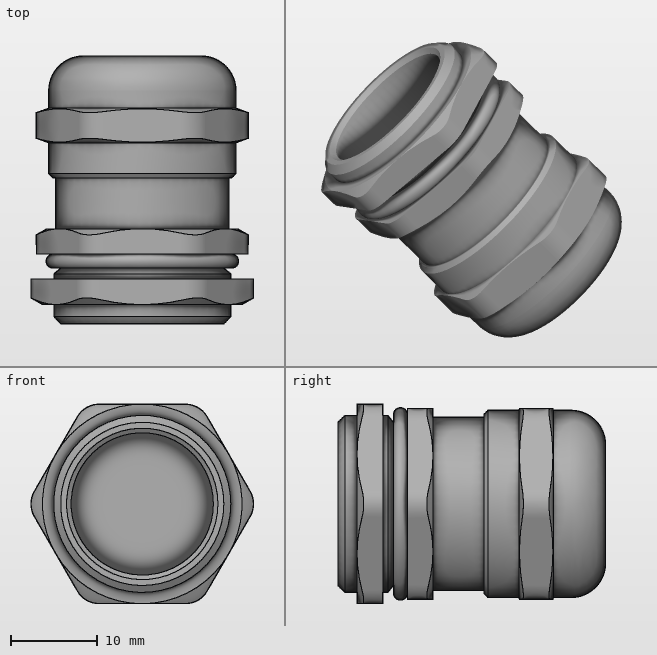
import cadquery as cq
import math

entry_chamfer_end = 0.83
nut_start = 2.22
nut_end = 5.18
thread_chamfer_start = 5.77
thread_end = 6.42
ring_end = 8.02
body_hex_end = 10.95
cap_start = 16.82
cap_chamfer_end = 17.3
cap_hex_start = 20.85
cap_hex_end = 24.85
total_length = 30.85

thread_diameter = 20.4
thread_end_diameter = 18.8
ring_diameter = 22.2
barrel_diameter = 20.0
cap_diameter = 21.6
cap_chamfer = 0.5
dome_radius = 4.0

bore_mouth_diameter = 17.45
bore_diameter = 16.4
bore_depth = 5.77
bore_chamfer_depth = (bore_mouth_diameter - bore_diameter) / 2

nut_flats = 23.0
wrench_flats = 22.0
nut_corner_radius = 2.93
wrench_corner_radius = 3.18
hex_chamfer_angle = 30
cap_hex_chamfer_angle = 20


def cylinder(diameter, start, end):
    """Cylinder on the Y axis between two stations."""
    return cq.Workplane("XZ", origin=(0, start, 0)).circle(diameter / 2).extrude(start - end)


def revolve(points):
    """Solid of revolution about Y from (radius, station) points."""
    return cq.Workplane("XY").polyline(points).close().revolve(360, (0, 0), (0, 1))


def hexagon(flats, corner_radius, start, end, angle, face_diameter, chamfer_start, chamfer_end):
    """Hexagon with rounded corners and conical chamfers on the chosen ends."""
    corner_diameter = flats / math.cos(math.pi / 6)
    prism = (
        cq.Workplane("XZ", origin=(0, start, 0))
        .polygon(6, corner_diameter)
        .extrude(start - end)
        .edges("|Y")
        .fillet(corner_radius)
    )
    face_radius = face_diameter / 2
    outer_radius = corner_diameter / 2
    drop = (outer_radius - face_radius) * math.tan(math.radians(angle))
    profile = [(0, start)]
    if chamfer_start:
        profile += [(face_radius, start), (outer_radius, start + drop)]
    else:
        profile += [(outer_radius, start)]
    if chamfer_end:
        profile += [(outer_radius, end - drop), (face_radius, end)]
    else:
        profile += [(outer_radius, end)]
    profile += [(0, end)]
    return prism.intersect(revolve(profile))


thread = revolve([
    (0, 0),
    (thread_end_diameter / 2, 0),
    (thread_diameter / 2, entry_chamfer_end),
    (thread_diameter / 2, thread_chamfer_start),
    (thread_end_diameter / 2, thread_end),
    (0, thread_end),
])

ring_round = (ring_end - thread_end) / 2
ring_core_radius = ring_diameter / 2 - ring_round
ring = (
    cq.Workplane("XY")
    .moveTo(0, thread_end)
    .lineTo(ring_core_radius, thread_end)
    .threePointArc((ring_diameter / 2, thread_end + ring_round), (ring_core_radius, ring_end))
    .lineTo(0, ring_end)
    .close()
    .revolve(360, (0, 0), (0, 1))
)
barrel = cylinder(barrel_diameter, ring_end, cap_start)

cap = cylinder(cap_diameter, cap_start, total_length)
cap = cap.faces(">Y").edges().fillet(dome_radius)
cap = cap.faces("<Y").edges().chamfer(cap_chamfer_end - cap_start, cap_chamfer)

nut = hexagon(
    nut_flats, nut_corner_radius, nut_start, nut_end, hex_chamfer_angle, nut_flats, True, False
)
body_hex = hexagon(
    wrench_flats, wrench_corner_radius, ring_end, body_hex_end,
    hex_chamfer_angle, wrench_flats, False, True
)
cap_hex = hexagon(
    wrench_flats, wrench_corner_radius, cap_hex_start, cap_hex_end,
    cap_hex_chamfer_angle, cap_diameter, True, True
)

bore = revolve([
    (0, 0),
    (bore_mouth_diameter / 2, 0),
    (bore_diameter / 2, bore_chamfer_depth),
    (bore_diameter / 2, bore_depth),
    (0, bore_depth),
])

result = thread
for piece in (ring, barrel, cap, nut, body_hex, cap_hex):
    result = result.union(piece)
result = result.cut(bore)